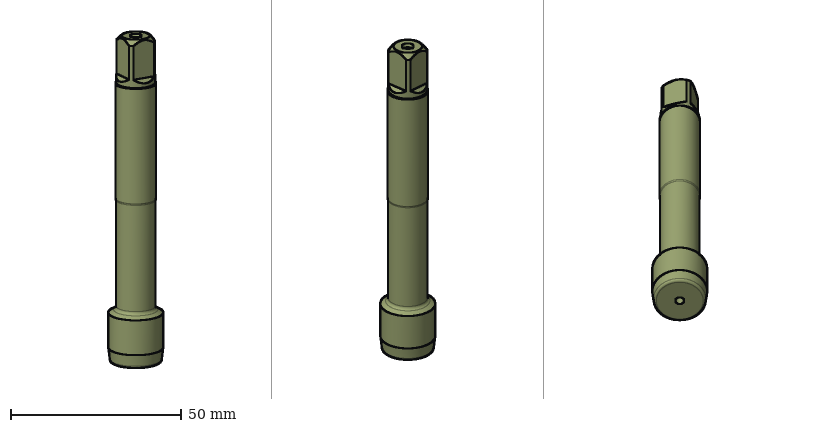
import cadquery as cq

TOTAL_LENGTH = 100.0
BORE_DIAMETER = 2.5

SQUARE_WIDTH = 9.0
NECK_DIAMETER = 11.5
TIP_DIAMETER = 8.4
SHOULDER_Z = 88.1
COUNTERSINK_DIAMETER = 3.5
COUNTERSINK_DEPTH = 1.0

SHANK_DIAMETER = 12.0
RELIEF_DIAMETER = 11.7
NECK_Z = 85.6
NECK_STEP_HEIGHT = 0.2
RELIEF_Z = 49.6
RELIEF_STEP_HEIGHT = 0.5

COLLAR_DIAMETER = 16.2
COLLAR_TOP_Z = 15.0
COLLAR_SHOULDER_DIAMETER = 13.0
COLLAR_SHOULDER_HEIGHT = 0.9
COLLAR_FILLET_HEIGHT = 1.1
FILLET_SAG = 0.15

RING_HEIGHT = 4.3
RING_BOTTOM_DIAMETER = 15.4
RING_ROUND = 0.8


def shank_and_collar():
    """Revolved body from the collar's lower face to the tip of the drive."""
    shoulder_radius = COLLAR_SHOULDER_DIAMETER / 2
    relief_radius = RELIEF_DIAMETER / 2
    shank_radius = SHANK_DIAMETER / 2
    neck_radius = NECK_DIAMETER / 2
    tip_radius = TIP_DIAMETER / 2
    shoulder_z = COLLAR_TOP_Z + COLLAR_SHOULDER_HEIGHT
    fillet_top_z = shoulder_z + COLLAR_FILLET_HEIGHT
    fillet_middle = (
        (shoulder_radius + relief_radius) / 2 - FILLET_SAG,
        (shoulder_z + fillet_top_z) / 2 - FILLET_SAG,
    )
    tip_chamfer = neck_radius - tip_radius
    return (
        cq.Workplane("XZ")
        .moveTo(0, RING_HEIGHT)
        .lineTo(COLLAR_DIAMETER / 2, RING_HEIGHT)
        .lineTo(COLLAR_DIAMETER / 2, COLLAR_TOP_Z)
        .lineTo(shoulder_radius, shoulder_z)
        .threePointArc(fillet_middle, (relief_radius, fillet_top_z))
        .lineTo(relief_radius, RELIEF_Z)
        .lineTo(shank_radius, RELIEF_Z + RELIEF_STEP_HEIGHT)
        .lineTo(shank_radius, NECK_Z - NECK_STEP_HEIGHT)
        .lineTo(neck_radius, NECK_Z)
        .lineTo(neck_radius, TOTAL_LENGTH - tip_chamfer)
        .lineTo(tip_radius, TOTAL_LENGTH)
        .lineTo(0, TOTAL_LENGTH)
        .close()
        .revolve(360, (0, 0, 0), (0, 1, 0))
    )


def flat_cutter():
    """Prism that mills one flat of the square, ending in a 45 degree floor."""
    flat = SQUARE_WIDTH / 2
    outside = SHANK_DIAMETER
    return (
        cq.Workplane("XZ")
        .moveTo(flat, TOTAL_LENGTH)
        .lineTo(flat, SHOULDER_Z)
        .lineTo(outside, SHOULDER_Z - (outside - flat))
        .lineTo(outside, TOTAL_LENGTH)
        .close()
        .extrude(SHANK_DIAMETER / 2, both=True)
    )


def bore():
    """Through bore along the axis."""
    return cq.Workplane("XY").circle(BORE_DIAMETER / 2).extrude(TOTAL_LENGTH)


def countersink():
    """Conical mouth of the bore in the tip."""
    cone_bottom_z = TOTAL_LENGTH - COUNTERSINK_DEPTH
    return (
        cq.Workplane("XZ")
        .moveTo(0, cone_bottom_z)
        .lineTo(BORE_DIAMETER / 2, cone_bottom_z)
        .lineTo(COUNTERSINK_DIAMETER / 2, TOTAL_LENGTH)
        .lineTo(0, TOTAL_LENGTH)
        .close()
        .revolve(360, (0, 0, 0), (0, 1, 0))
    )


def make_shaft():
    """Shank with its collar and square drive."""
    shaft = shank_and_collar()
    for angle in range(0, 360, 90):
        shaft = shaft.cut(flat_cutter().rotate((0, 0, 0), (0, 0, 1), angle))
    return shaft.cut(bore()).cut(countersink())


def make_end_ring():
    """Tapered ring that closes the lower end of the collar."""
    bottom_radius = RING_BOTTOM_DIAMETER / 2
    ring = (
        cq.Workplane("XZ")
        .moveTo(0, 0)
        .lineTo(bottom_radius - RING_ROUND, 0)
        .radiusArc((bottom_radius, RING_ROUND), -RING_ROUND)
        .lineTo(COLLAR_DIAMETER / 2, RING_HEIGHT)
        .lineTo(0, RING_HEIGHT)
        .close()
        .revolve(360, (0, 0, 0), (0, 1, 0))
    )
    return ring.cut(bore())


shaft = make_shaft()
end_ring = make_end_ring()

result = cq.Compound.makeCompound([shaft.val(), end_ring.val()])